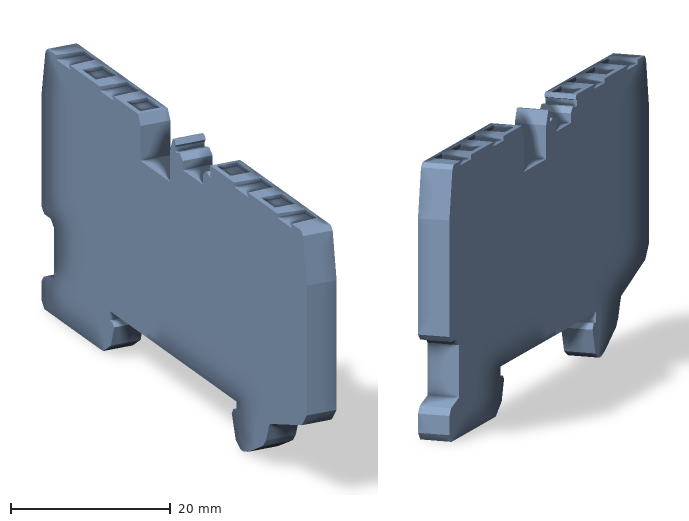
import cadquery as cq

LENGTH = 72.4
THICKNESS = 4.2
HEIGHT = 35.4

RAIL_ROOF = 6.1
RAIL_LEFT = 18.6
RAIL_RIGHT = 53.15
HOOK_TOP = 4.8

NOTCH_DEPTH = 3.5
NOTCH_BOTTOM = 5.15
NOTCH_TOP = 12.8
NOTCH_OUTER_CHAMFER = 0.8
NOTCH_INNER_CHAMFER = 0.95

SHOULDER_BOTTOM = 28.5
SHOULDER_TOP = 34.8
SHOULDER_INSET = 1.1
TOP_INSET = 1.6

SLOT_LEFT = 27.1
SLOT_RIGHT = 35.1
SLOT_FLOOR = 29.3

LATCH_LEFT = 38.6
LATCH_RIGHT = 44.0
LATCH_FLOOR = 32.15
LATCH_CORNER = 33.4
LATCH_STEP = 34.1
GROOVE_FLOOR = 33.9
LIP = 34.8
LEFT_GROOVE = 36.4
RIGHT_GROOVE = 46.25

PATTERN_CENTER = 36.1
RECESS_DEPTH = 0.6
MARKER_WIDTH = 3.8
MARKER_FRONT = 0.65
MARKER_BACK = 3.55
MARKER_OFFSETS = (12.3, 24.4)
ENTRY_BACK = 3.8
ENTRIES = ((18.3, 3.8, 3.4), (30.2, 3.9, 3.2))

left_foot = [
    (0.8, 0),
    (16.8, 0),
    (19.0, 1.5),
    (19.85, 4.3),
    (19.3, HOOK_TOP),
    (RAIL_LEFT, HOOK_TOP),
    (RAIL_LEFT, RAIL_ROOF),
]
right_foot = [
    (RAIL_RIGHT, RAIL_ROOF),
    (RAIL_RIGHT, HOOK_TOP),
    (52.35, HOOK_TOP),
    (51.9, 4.05),
    (53.0, 0.8),
    (54.3, 0),
    (55.1, 0),
    (56.4, 0.4),
    (60.45, 2.7),
    (61.25, 3.7),
    (62.05, 5.8),
    (62.35, 6.3),
]
right_end = [
    (71.0, 9.2),
    (LENGTH, 11.0),
    (LENGTH, SHOULDER_BOTTOM),
    (LENGTH - SHOULDER_INSET, SHOULDER_TOP),
    (LENGTH - TOP_INSET, HEIGHT),
]
latch_recess = [
    (46.05, HEIGHT),
    (45.8, LIP),
    (RIGHT_GROOVE, 34.7),
    (RIGHT_GROOVE, GROOVE_FLOOR),
    (45.6, GROOVE_FLOOR),
    (45.25, LATCH_STEP),
    (44.75, LATCH_STEP),
    (LATCH_RIGHT, LATCH_CORNER),
    (LATCH_RIGHT, LATCH_FLOOR),
    (LATCH_LEFT, LATCH_FLOOR),
    (LATCH_LEFT, LATCH_CORNER),
    (37.7, LATCH_STEP),
    (37.3, LATCH_STEP),
    (37.0, GROOVE_FLOOR),
    (LEFT_GROOVE, GROOVE_FLOOR),
    (LEFT_GROOVE, 34.45),
    (36.7, LIP),
    (36.35, HEIGHT),
]
deep_slot = [
    (35.85, HEIGHT),
    (SLOT_RIGHT, 33.7),
    (SLOT_RIGHT, SLOT_FLOOR),
    (SLOT_LEFT, SLOT_FLOOR),
    (SLOT_LEFT, 34.0),
    (26.35, HEIGHT),
]
left_end = [
    (TOP_INSET, HEIGHT),
    (SHOULDER_INSET, SHOULDER_TOP),
    (0, SHOULDER_BOTTOM),
    (0, NOTCH_TOP + NOTCH_OUTER_CHAMFER),
    (NOTCH_OUTER_CHAMFER, NOTCH_TOP),
    (NOTCH_DEPTH - NOTCH_INNER_CHAMFER, NOTCH_TOP),
    (NOTCH_DEPTH, NOTCH_TOP - NOTCH_INNER_CHAMFER),
    (NOTCH_DEPTH, NOTCH_BOTTOM),
    (0.65, 4.35),
    (0, 3.5),
    (0, 1.0),
]


def make_body():
    """Plate with the full outline; the XZ plane faces -Y, so a negative extrusion runs toward +Y."""
    outline = left_foot + right_foot + right_end + latch_recess + deep_slot + left_end
    return cq.Workplane("XZ").polyline(outline).close().extrude(-THICKNESS)


def make_recess(center_x, front_y, back_y, front_width, back_width):
    """Cutter for a shallow recess with straight or tapering sides."""
    corners = [
        (center_x - front_width / 2, front_y),
        (center_x + front_width / 2, front_y),
        (center_x + back_width / 2, back_y),
        (center_x - back_width / 2, back_y),
    ]
    floor = cq.Workplane("XY").workplane(offset=HEIGHT - RECESS_DEPTH)
    return floor.polyline(corners).close().extrude(RECESS_DEPTH)


result = make_body()
for side in (-1, 1):
    for offset in MARKER_OFFSETS:
        center = PATTERN_CENTER + side * offset
        result = result.cut(make_recess(center, MARKER_FRONT, MARKER_BACK, MARKER_WIDTH, MARKER_WIDTH))
    for offset, front_width, back_width in ENTRIES:
        center = PATTERN_CENTER + side * offset
        result = result.cut(make_recess(center, 0, ENTRY_BACK, front_width, back_width))